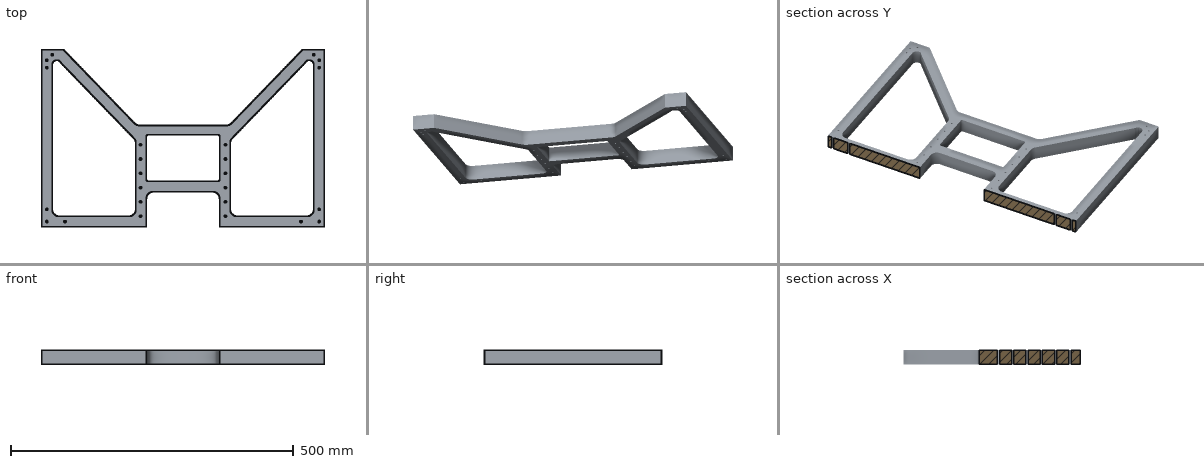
import cadquery as cq
import math

length = 501.5
depth = 314.5
thickness = 25.5
rail = 19.0
half_length = length / 2

notch_half_width = 64.5
notch_depth = 62.0
window_bottom = notch_depth + rail
window_top = 163.0
bridge_top = 180.0

tip_width = 38.5
valley_x = 82.5
arm_width = 19.5

corner_radius = 12.0
window_radius = 2.0
tip_relief_radius = 8.0

hole_diameter = 3.0
hole_inset = rail / 2
upper_hole_y = 282.5
lower_hole_y = 31.0
foot_hole_offset = 41.5
post_x = 75.0
post_hole_count = 6
post_hole_start = 19.0
post_hole_pitch = 25.35

tip_x = half_length - tip_width
arm_slope = (depth - bridge_top) / (tip_x - valley_x)
arm_drop = arm_width * math.hypot(1, arm_slope)
opening_inner_x = notch_half_width + rail
opening_outer_x = half_length - rail
opening_top = depth - rail


def arm_inner_y(x):
    """Height of the lower face of the right-hand arm."""
    return bridge_top + arm_slope * (x - valley_x) - arm_drop


def arm_inner_x(y):
    """Position across the part of the lower face of the right-hand arm."""
    return valley_x + (y + arm_drop - bridge_top) / arm_slope


def make_blank():
    right_side = [
        (valley_x, bridge_top),
        (tip_x, depth),
        (half_length, depth),
        (half_length, 0),
        (notch_half_width, 0),
        (notch_half_width, notch_depth),
    ]
    left_side = [(-x, y) for x, y in reversed(right_side)]
    blank = cq.Workplane("XY").polyline(right_side + left_side).close().extrude(thickness)
    for side in (-1, 1):
        notch_corner = (side * notch_half_width, notch_depth, thickness / 2)
        valley = (side * valley_x, bridge_top, thickness / 2)
        blank = blank.edges(cq.NearestToPointSelector(notch_corner)).fillet(corner_radius)
        blank = blank.edges(cq.NearestToPointSelector(valley)).fillet(corner_radius)
    return blank


def make_window():
    window_height = window_top - window_bottom
    return (
        cq.Workplane("XY")
        .center(0, window_bottom + window_height / 2)
        .rect(2 * notch_half_width, window_height)
        .extrude(thickness)
        .edges("|Z")
        .fillet(window_radius)
    )


def make_right_opening():
    outline = [
        (opening_inner_x, rail),
        (opening_outer_x, rail),
        (opening_outer_x, opening_top),
        (arm_inner_x(opening_top), opening_top),
        (opening_inner_x, arm_inner_y(opening_inner_x)),
    ]
    opening = cq.Workplane("XY").polyline(outline).close().extrude(thickness)
    for x in (opening_inner_x, opening_outer_x):
        corner = (x, rail, thickness / 2)
        opening = opening.edges(cq.NearestToPointSelector(corner)).fillet(corner_radius)
    arm_corner = (opening_inner_x, arm_inner_y(opening_inner_x), thickness / 2)
    opening = opening.edges(cq.NearestToPointSelector(arm_corner)).fillet(corner_radius)
    tip_corner = (opening_outer_x, opening_top, thickness / 2)
    opening = opening.edges(cq.NearestToPointSelector(tip_corner)).fillet(tip_relief_radius)
    tip_relief = (
        cq.Workplane("XY")
        .center(opening_outer_x - tip_relief_radius, opening_top - tip_relief_radius)
        .circle(tip_relief_radius)
        .extrude(thickness)
    )
    return opening.union(tip_relief)


def make_right_holes():
    hole_line_x = half_length - hole_inset
    points = [
        (opening_outer_x, depth - hole_inset),
        (hole_line_x, opening_top),
        (hole_line_x, upper_hole_y),
        (hole_line_x, lower_hole_y),
        (hole_line_x, hole_inset),
        (half_length - foot_hole_offset, hole_inset),
    ]
    for i in range(post_hole_count):
        points.append((post_x, post_hole_start + i * post_hole_pitch))
    return cq.Workplane("XY").pushPoints(points).circle(hole_diameter / 2).extrude(thickness)


result = make_blank().cut(make_window())
for cutter in (make_right_opening(), make_right_holes()):
    result = result.cut(cutter).cut(cutter.mirror("YZ"))